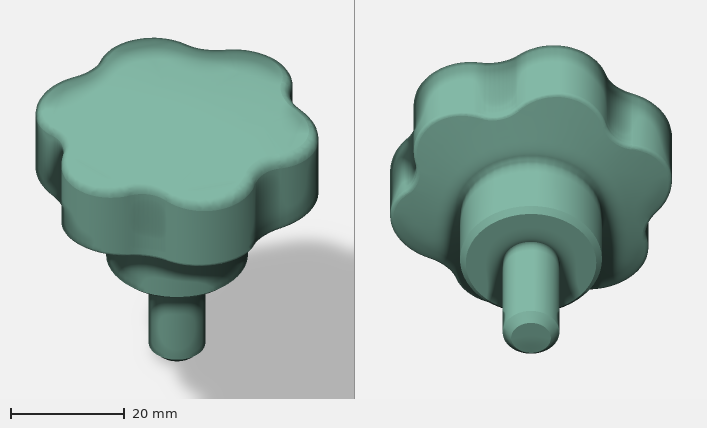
import cadquery as cq
import math

LOBE_COUNT = 6
LOBE_RADIUS = 18.9 / 2
GRIP_RADIUS = 50.7 / 2
VALLEY_RADIUS = 6.8
HALF_PITCH = math.pi / LOBE_COUNT
FIRST_LOBE = math.pi / 2
LOBE_CENTRE = GRIP_RADIUS - LOBE_RADIUS
CENTRE_GAP = LOBE_RADIUS + VALLEY_RADIUS

TOP_HEIGHT = 32.96
NECK_HEIGHT = 13.45
DOME_RADIUS = 150.0
UNDERSIDE_ANGLE = 15.0
TOP_FILLET = 2.0
BOTTOM_FILLET = 0.75

BOSS_RADIUS = 25.0 / 2
BOSS_CHAMFER = 1.0
NECK_FILLET = 1.0

STUD_RADIUS = 10.0 / 2
STUD_LENGTH = 20.0
STUD_CHAMFER = 1.5

TIP_CLEARANCE = 5.0
TURNED_RADIUS = GRIP_RADIUS + TIP_CLEARANCE


def polar(radius, angle):
    """Point at the given radius and angle (radians) about the Z axis."""
    return (radius * math.cos(angle), radius * math.sin(angle))


def lobe_tangent(valley_centre):
    """Polar radius and angle of the tangent point beside a lobe centred on angle 0."""
    share = LOBE_RADIUS / CENTRE_GAP
    valley_x, valley_y = polar(valley_centre, HALF_PITCH)
    tangent_x = LOBE_CENTRE + share * (valley_x - LOBE_CENTRE)
    tangent_y = share * valley_y
    return math.hypot(tangent_x, tangent_y), math.atan2(tangent_y, tangent_x)


def lobed_prism():
    """Full-height prism with convex lobes joined by tangent concave arcs."""
    half_chord = LOBE_CENTRE * math.sin(HALF_PITCH)
    chord_distance = LOBE_CENTRE * math.cos(HALF_PITCH)
    valley_centre = chord_distance + math.sqrt(CENTRE_GAP**2 - half_chord**2)
    valley_depth = valley_centre - VALLEY_RADIUS
    tangent_radius, tangent_angle = lobe_tangent(valley_centre)

    start = polar(tangent_radius, FIRST_LOBE - tangent_angle)
    outline = cq.Workplane("XY", origin=(0, 0, -STUD_LENGTH)).moveTo(*start)
    for index in range(LOBE_COUNT):
        lobe = FIRST_LOBE + 2 * HALF_PITCH * index
        valley = lobe + HALF_PITCH
        next_lobe = valley + HALF_PITCH
        outline = outline.threePointArc(
            polar(GRIP_RADIUS, lobe), polar(tangent_radius, lobe + tangent_angle)
        )
        outline = outline.threePointArc(
            polar(valley_depth, valley), polar(tangent_radius, next_lobe - tangent_angle)
        )
    return outline.close().extrude(STUD_LENGTH + TOP_HEIGHT)


def dome_height(radius):
    """Height of the domed top at a distance from the axis."""
    return TOP_HEIGHT - DOME_RADIUS + math.sqrt(DOME_RADIUS**2 - radius**2)


def turned_body():
    """Revolved stud, boss, sloped underside and domed top, before the lobes are shaped."""
    slope = math.radians(UNDERSIDE_ANGLE)
    slope_rise = (TURNED_RADIUS - BOSS_RADIUS) * math.tan(slope)

    turn = math.pi / 2 - slope
    tangent_length = NECK_FILLET * math.tan(turn / 2)
    fillet_start_z = NECK_HEIGHT - tangent_length
    fillet_centre_r = BOSS_RADIUS + NECK_FILLET
    fillet_middle = (
        fillet_centre_r - NECK_FILLET * math.cos(turn / 2),
        fillet_start_z + NECK_FILLET * math.sin(turn / 2),
    )
    fillet_end = (
        fillet_centre_r - NECK_FILLET * math.cos(turn),
        fillet_start_z + NECK_FILLET * math.sin(turn),
    )

    return (
        cq.Workplane("YZ")
        .moveTo(0, -STUD_LENGTH)
        .lineTo(STUD_RADIUS - STUD_CHAMFER, -STUD_LENGTH)
        .lineTo(STUD_RADIUS, STUD_CHAMFER - STUD_LENGTH)
        .lineTo(STUD_RADIUS, 0)
        .lineTo(BOSS_RADIUS - BOSS_CHAMFER, 0)
        .lineTo(BOSS_RADIUS, BOSS_CHAMFER)
        .lineTo(BOSS_RADIUS, fillet_start_z)
        .threePointArc(fillet_middle, fillet_end)
        .lineTo(TURNED_RADIUS, NECK_HEIGHT + slope_rise)
        .lineTo(TURNED_RADIUS, dome_height(TURNED_RADIUS))
        .threePointArc(
            (TURNED_RADIUS / 2, dome_height(TURNED_RADIUS / 2)), (0, TOP_HEIGHT)
        )
        .close()
        .revolve(360, (0, 0, 0), (0, 1, 0))
    )


def round_rims(body):
    """Round the lobed edges of the domed top and of the sloped underside."""
    body = body.faces("%SPHERE").edges("not %LINE").fillet(TOP_FILLET)
    rim_height = NECK_HEIGHT + NECK_FILLET
    lower_rim = cq.selectors.BoxSelector(
        (-TURNED_RADIUS, -TURNED_RADIUS, rim_height),
        (TURNED_RADIUS, TURNED_RADIUS, TOP_HEIGHT),
    )
    return body.faces("%CONE").edges(lower_rim).edges("not %LINE").fillet(BOTTOM_FILLET)


knob = lobed_prism().intersect(turned_body())
result = round_rims(knob)